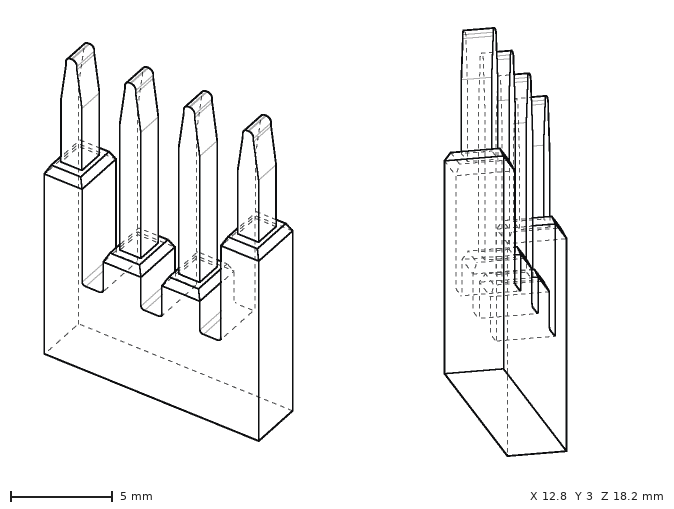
import cadquery as cq

pin_count = 4
pitch = 3.5
post_width = 2.25
depth = 3.0
total_height = 18.2

base_height = 5.2
outer_post_height = 11.6
inner_post_height = 7.65
gap_corner_radius = 0.2
bevel_inset = 0.25
bevel_height = 0.5

pin_width = 1.25
pin_depth = 1.55
tip_width = 0.65
tip_edge_radius = 0.3
tip_height = 0.5
taper_height = 2.25

total_width = (pin_count - 1) * pitch + post_width
gap_width = pitch - post_width
post_centers = [(i - (pin_count - 1) / 2) * pitch for i in range(pin_count)]
tip_round_start = total_height - tip_edge_radius
taper_top = total_height - tip_height
taper_bottom = taper_top - taper_height


def post_height(index):
    """Height of a post; the first and last are taller than those between them."""
    is_outer = index in (0, pin_count - 1)
    return outer_post_height if is_outer else inner_post_height


def make_post(center_x, top):
    """Post standing on the base, with a steep bevel around its top."""
    shoulder = top - bevel_height
    shaft = (
        cq.Workplane("XY", origin=(center_x, 0, 0))
        .box(post_width, depth, shoulder, centered=(True, True, False))
    )
    bevelled_top = (
        cq.Workplane("XY", origin=(center_x, 0, shoulder))
        .rect(post_width, depth)
        .workplane(offset=bevel_height)
        .rect(post_width - 2 * bevel_inset, depth - 2 * bevel_inset)
        .loft(ruled=True)
    )
    return shaft.union(bevelled_top)


def make_gap_floor(center_x):
    """Base between two posts, with concave fillets where its floor meets them."""
    left = center_x - gap_width / 2
    right = center_x + gap_width / 2
    fillet_top = base_height + gap_corner_radius
    return (
        cq.Workplane("XZ", origin=(0, depth / 2, 0))
        .moveTo(left, 0)
        .lineTo(right, 0)
        .lineTo(right, fillet_top)
        .radiusArc((right - gap_corner_radius, base_height), gap_corner_radius)
        .lineTo(left + gap_corner_radius, base_height)
        .radiusArc((left, fillet_top), gap_corner_radius)
        .close()
        .extrude(depth)
    )


def make_pin(center_x, bottom):
    """Pin rising from a post; rounded edges leave a narrow flat strip on its tip."""
    half_pin = pin_width / 2
    half_tip = tip_width / 2
    half_flat = half_tip - tip_edge_radius
    return (
        cq.Workplane("XZ", origin=(center_x, pin_depth / 2, 0))
        .moveTo(-half_pin, bottom)
        .lineTo(half_pin, bottom)
        .lineTo(half_pin, taper_bottom)
        .lineTo(half_tip, taper_top)
        .lineTo(half_tip, tip_round_start)
        .radiusArc((half_flat, total_height), -tip_edge_radius)
        .lineTo(-half_flat, total_height)
        .radiusArc((-half_tip, tip_round_start), -tip_edge_radius)
        .lineTo(-half_tip, taper_top)
        .lineTo(-half_pin, taper_bottom)
        .close()
        .extrude(pin_depth)
    )


result = (
    cq.Workplane("XY")
    .box(total_width, depth, base_height, centered=(True, True, False))
)
for index, center_x in enumerate(post_centers):
    top = post_height(index)
    result = result.union(make_post(center_x, top))
    result = result.union(make_pin(center_x, top))
for center_x in post_centers[:-1]:
    result = result.union(make_gap_floor(center_x + pitch / 2))
result = result.clean()